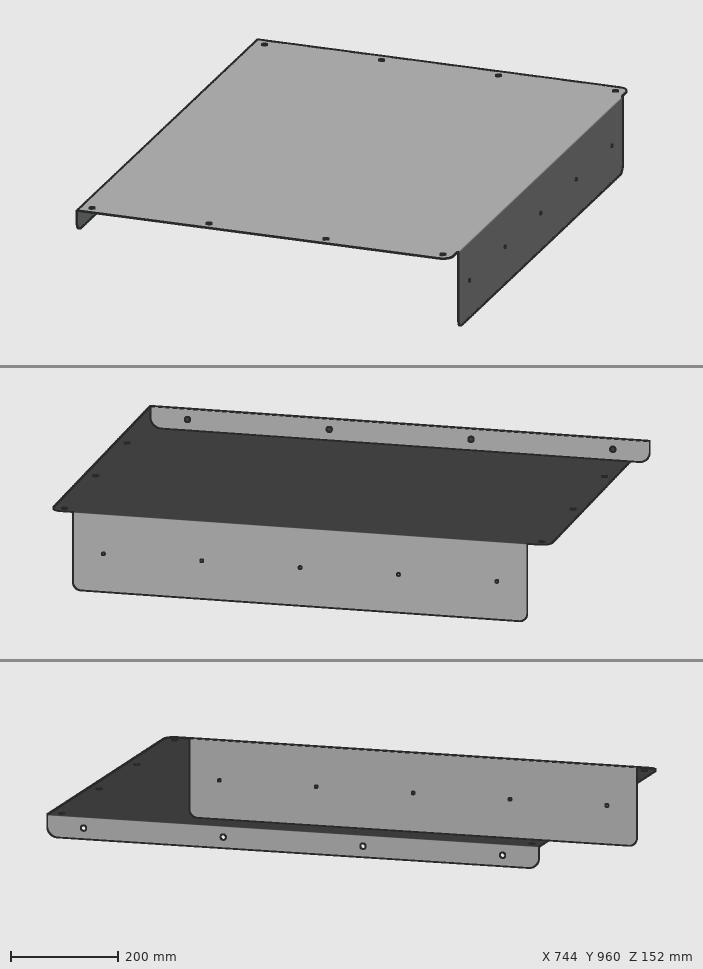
import cadquery as cq
import math

length_x = 744.0
width_y = 960.0
height_z = 152.0
sheet = 2.0
bend_radius = 3.0

short_flange_height = 43.0
tall_flange_width = 874.0
short_corner_radius = 20.0
tall_corner_radius = 15.0
plate_corner_radius = 20.0

plate_hole_diameter = 11.0
plate_hole_pitch = 232.0
plate_hole_edge = 21.0
short_hole_diameter = 11.0
short_hole_pitch = 273.0
short_hole_depth = 22.0
tall_hole_diameter = 6.0
tall_hole_pitch = 189.0
tall_hole_depth = 78.0

half_x = length_x / 2
half_y = width_y / 2


def row(count, pitch):
    """Evenly spaced positions centred on zero."""
    return [(i - (count - 1) / 2) * pitch for i in range(count)]


def folded_flange(side, height, width, corner_radius):
    """Flange with its bend, at the -X (side = -1) or +X (side = 1) end."""
    bend_x = side * (half_x - bend_radius)
    outer_x = side * half_x
    inner_x = side * (half_x - sheet)
    inner_radius = bend_radius - sheet
    diagonal = math.sqrt(0.5)
    outer_middle = (bend_x + side * bend_radius * diagonal, bend_radius * (diagonal - 1))
    inner_middle = (bend_x + side * inner_radius * diagonal, inner_radius * diagonal - bend_radius)
    return (
        cq.Workplane("XZ")
        .moveTo(bend_x, 0)
        .threePointArc(outer_middle, (outer_x, -bend_radius))
        .lineTo(outer_x, -height)
        .lineTo(inner_x, -height)
        .lineTo(inner_x, -bend_radius)
        .threePointArc(inner_middle, (bend_x, -sheet))
        .close()
        .extrude(width / 2, both=True)
        .edges("(|X) and (<Y or >Y)")
        .fillet(corner_radius)
    )


def holes_along_x(side, positions, depth, diameter):
    """Cutters through one flange, spread along Y."""
    return (
        cq.Workplane("YZ", origin=(side * half_x, 0, 0))
        .pushPoints([(y, -depth) for y in positions])
        .circle(diameter / 2)
        .extrude(2 * sheet, both=True)
    )


plate = (
    cq.Workplane("XY")
    .box(length_x - 2 * bend_radius, width_y, sheet)
    .translate((0, 0, -sheet / 2))
    .edges("|Z and >X")
    .fillet(plate_corner_radius)
)

short_flange = folded_flange(-1, short_flange_height, width_y, short_corner_radius)
tall_flange = folded_flange(1, height_z, tall_flange_width, tall_corner_radius)

hole_row_y = half_y - plate_hole_edge
plate_holes = (
    cq.Workplane("XY")
    .pushPoints([(x, y) for x in row(4, plate_hole_pitch) for y in (-hole_row_y, hole_row_y)])
    .circle(plate_hole_diameter / 2)
    .extrude(2 * sheet, both=True)
)
short_holes = holes_along_x(-1, row(4, short_hole_pitch), short_hole_depth, short_hole_diameter)
tall_holes = holes_along_x(1, row(5, tall_hole_pitch), tall_hole_depth, tall_hole_diameter)

result = (
    plate.union(short_flange)
    .union(tall_flange)
    .cut(plate_holes)
    .cut(short_holes)
    .cut(tall_holes)
)